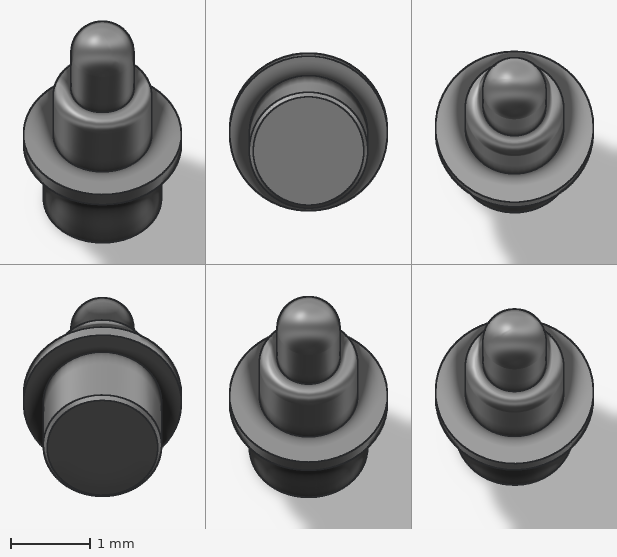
import cadquery as cq

tail_diameter = 1.5
tail_length = 1.1
tail_chamfer = 0.05

flange_diameter = 2.0
flange_thickness = 0.2

barrel_diameter = 1.25
barrel_length = 0.9
barrel_fillet = 0.15

plunger_diameter = 0.8
plunger_exposed_length = 1.1

flange_bottom = tail_length
flange_top = flange_bottom + flange_thickness
barrel_top = flange_top + barrel_length
plunger_radius = plunger_diameter / 2
dome_base = barrel_top + plunger_exposed_length - plunger_radius


def cylinder(diameter, bottom, top):
    """Solid cylinder on the Z axis between two heights."""
    return cq.Workplane("XY").workplane(offset=bottom).circle(diameter / 2).extrude(top - bottom)


def make_tail():
    """Tail with a chamfered lower edge."""
    return cylinder(tail_diameter, 0, flange_bottom).faces("<Z").edges().chamfer(tail_chamfer)


def make_flange():
    """Flat collar between the tail and the barrel."""
    return cylinder(flange_diameter, flange_bottom, flange_top)


def make_barrel():
    """Barrel with a rounded upper edge."""
    return cylinder(barrel_diameter, flange_top, barrel_top).faces(">Z").edges().fillet(barrel_fillet)


def make_plunger():
    """Plunger shaft ending in a hemispherical dome."""
    shaft = cylinder(plunger_diameter, barrel_top, dome_base)
    dome = (
        cq.Workplane("XY")
        .sphere(plunger_radius, angle1=0, angle2=90)
        .translate((0, 0, dome_base))
    )
    return shaft.union(dome)


result = make_tail().union(make_flange()).union(make_barrel()).union(make_plunger())